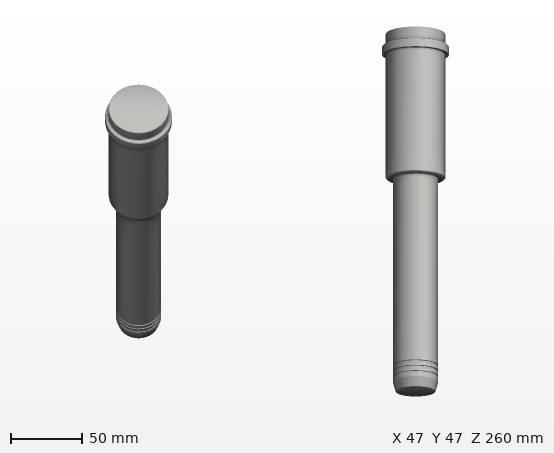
import cadquery as cq
import math

total_length = 260.0
sleeve_length = 105.3
collar_height = 6.0
collar_top_depth = 9.0

collar_diameter = 47.0
collar_overhang = 2.52
pin_diameter = 32.0

sleeve_bottom_chamfer = 0.8
sleeve_top_chamfer = 0.4
collar_chamfer = 0.5

relief_width = 0.8
relief_depth = 0.5

pin_root_chamfer = 0.5
nose_height = 7.0
nose_angle = 15.0
nose_chamfer = 0.3

groove_count = 3
lowest_groove_z = 10.7
groove_pitch = 4.0
groove_width = 1.3
groove_floor_width = groove_width / 2
groove_depth = 0.5

pin_radius = pin_diameter / 2
nose_radius = pin_radius - nose_height * math.tan(math.radians(nose_angle))
collar_radius = collar_diameter / 2
sleeve_radius = collar_radius - collar_overhang
relief_radius = sleeve_radius - relief_depth
sleeve_bottom = total_length - sleeve_length
collar_top = total_length - collar_top_depth
collar_bottom = collar_top - collar_height


def nose_outline():
    return [
        (nose_radius - nose_chamfer, 0),
        (nose_radius, nose_chamfer),
        (pin_radius, nose_height),
    ]


def groove_outline(center_z):
    floor_radius = pin_radius - groove_depth
    return [
        (pin_radius, center_z - groove_width / 2),
        (floor_radius, center_z - groove_floor_width / 2),
        (floor_radius, center_z + groove_floor_width / 2),
        (pin_radius, center_z + groove_width / 2),
    ]


def pin_outline():
    points = nose_outline()
    for index in range(groove_count):
        points += groove_outline(lowest_groove_z + index * groove_pitch)
    points += [
        (pin_radius, sleeve_bottom - pin_root_chamfer),
        (pin_radius + pin_root_chamfer, sleeve_bottom),
    ]
    return points


def lower_sleeve_outline():
    return [
        (sleeve_radius - sleeve_bottom_chamfer, sleeve_bottom),
        (sleeve_radius, sleeve_bottom + sleeve_bottom_chamfer),
        (sleeve_radius, collar_bottom - relief_width),
        (relief_radius, collar_bottom - relief_width),
        (relief_radius, collar_bottom),
    ]


def collar_outline():
    return [
        (collar_radius, collar_bottom),
        (collar_radius, collar_top - collar_chamfer),
        (collar_radius - collar_chamfer, collar_top),
    ]


def upper_sleeve_outline():
    return [
        (relief_radius, collar_top),
        (relief_radius, collar_top + relief_width),
        (sleeve_radius, collar_top + relief_width),
        (sleeve_radius, total_length - sleeve_top_chamfer),
        (sleeve_radius - sleeve_top_chamfer, total_length),
    ]


half_outline = (
    [(0, 0)]
    + pin_outline()
    + lower_sleeve_outline()
    + collar_outline()
    + upper_sleeve_outline()
    + [(0, total_length)]
)

result = cq.Workplane("XZ").polyline(half_outline).close().revolve(360, (0, 0, 0), (0, 1, 0))